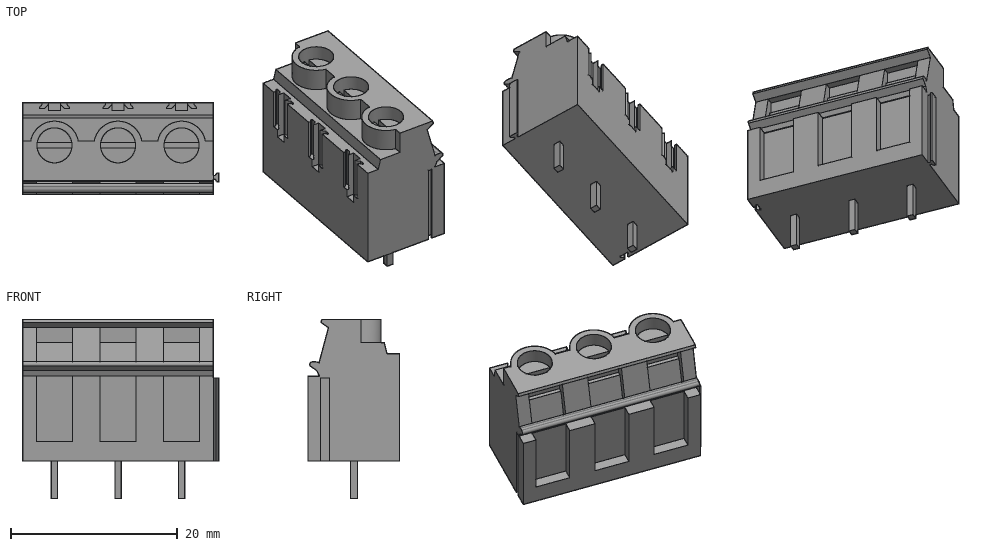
import cadquery as cq


POLES = 3
PITCH = 7.62
HOUSING_LENGTH = POLES * PITCH
HOUSING_DEPTH = 11.0
HOUSING_HEIGHT = 17.0
POLE_CENTRES = [(i + 0.5) * PITCH for i in range(POLES)]

REAR_LEDGE_Z = 12.9
REAR_SHOULDER_Z = 14.2
REAR_SLOPE_FOOT_Y = 9.5
REAR_SLOPE_TOP_Y = 9.17

FRONT_LEDGE_Z = 10.2
FRONT_WALL_Y = 1.37
LIP_UNDERSIDE = (1.06, 10.85)
LIP_NOSE_LOWER = (0.24, 11.43)
LIP_NOSE_TIP = (0.27, 11.77)
LIP_TOP_Z = 11.92
LIP_FLAT_FRONT_Y = 0.54
LIP_FLAT_REAR_Y = 0.94
LIP_CREST = (1.15, 11.89)
SLOPE_FOOT = (1.33, 11.8)
SLOPE_TOP = (2.45, 16.0)
BROW_TIP = (1.55, 16.64)
BROW_TOP_Y = 1.68

SCREW_Y = 5.88
SCREW_DIAMETER = 4.2
SCREW_TOP_Z = 15.2
SCREW_LENGTH = 3.0
SLOT_WIDTH = 0.63
SLOT_DEPTH = 0.8
TOWER_RADIUS = 2.9
TOP_REAR_Y = SCREW_Y + 0.5

RECESS_WIDTH = 4.35
LOWER_RECESS_DEPTH = 1.25
LOWER_RECESS_FLOOR_Z = 2.35
SLOPE_RECESS_DEPTH_Y = 0.9
SLOPE_RECESS_FLOOR_DROP = 0.9
UPPER_RECESS_FLOOR_Z = 14.2
UPPER_RECESS_REAR_Y = 3.35

RAIL_Y = 2.04
RAIL_HEIGHT = 10.0
RAIL_DEPTH = 0.65
RAIL_NECK_WIDTH = 0.47
RAIL_HEAD_WIDTH = 1.1
RAIL_NECK_DEPTH = 0.2
RAIL_FLARE_END = 0.45

HOOK_MOUTH_HALF_WIDTH = 1.49
HOOK_HALF_WIDTH = 1.8
HOOK_INNER_HALF_WIDTH = 1.2
HOOK_MOUTH_DEPTH = 0.25
HOOK_FLARE_DEPTH = 0.55
HOOK_DEPTH = 0.7
HOOK_HEIGHT = 5.0
NOTCH_WIDTH = 1.42
NOTCH_DEPTH = 0.94
NOTCH_HEIGHT = 6.0

PIN_WIDTH = 0.78
PIN_THICKNESS = 0.86
PIN_LENGTH = 4.5
PIN_Y = 5.53


def box(x_range, y_range, z_range):
    """Axis-aligned box between the given limits."""
    (x0, x1), (y0, y1), (z0, z1) = x_range, y_range, z_range
    return cq.Workplane("XY").box(x1 - x0, y1 - y0, z1 - z0, centered=False).translate((x0, y0, z0))


def span(centre, width):
    """Limits of a width centred on a place."""
    return (centre - width / 2, centre + width / 2)


def housing_body():
    """Housing cross-section in the YZ plane, extruded along the row of poles."""
    return (
        cq.Workplane("YZ")
        .moveTo(0, 0)
        .lineTo(HOUSING_DEPTH, 0)
        .lineTo(HOUSING_DEPTH, REAR_LEDGE_Z)
        .lineTo(REAR_SLOPE_FOOT_Y, REAR_LEDGE_Z)
        .lineTo(REAR_SLOPE_TOP_Y, REAR_SHOULDER_Z)
        .lineTo(TOP_REAR_Y, REAR_SHOULDER_Z)
        .lineTo(TOP_REAR_Y, HOUSING_HEIGHT)
        .lineTo(BROW_TOP_Y, HOUSING_HEIGHT)
        .lineTo(*BROW_TIP)
        .lineTo(*SLOPE_TOP)
        .lineTo(*SLOPE_FOOT)
        .threePointArc(LIP_CREST, (LIP_FLAT_REAR_Y, LIP_TOP_Z))
        .lineTo(LIP_FLAT_FRONT_Y, LIP_TOP_Z)
        .threePointArc(LIP_NOSE_TIP, LIP_NOSE_LOWER)
        .lineTo(*LIP_UNDERSIDE)
        .lineTo(FRONT_WALL_Y, FRONT_LEDGE_Z)
        .lineTo(0, FRONT_LEDGE_Z)
        .close()
        .extrude(HOUSING_LENGTH)
    )


def tower(x):
    """Round tower standing on the rear shoulder."""
    height = HOUSING_HEIGHT - REAR_SHOULDER_Z
    return cq.Workplane("XY", origin=(x, SCREW_Y, REAR_SHOULDER_Z)).circle(TOWER_RADIUS).extrude(height)


def screw_hole(x):
    """Blind hole that holds the screw at its bottom."""
    floor_z = SCREW_TOP_Z - SCREW_LENGTH
    hole = cq.Workplane("XY", origin=(x, SCREW_Y, floor_z)).circle(SCREW_DIAMETER / 2)
    return hole.extrude(HOUSING_HEIGHT - floor_z)


def lower_recess(x):
    """Tall recess in the front wall, open at the front ledge."""
    return box(span(x, RECESS_WIDTH), (0, LOWER_RECESS_DEPTH), (LOWER_RECESS_FLOOR_Z, FRONT_LEDGE_Z))


def slope_recess(x):
    """Recess in the sloping face: its rear wall follows the slope, then steps back to an upright wall."""
    foot_y, foot_z = SLOPE_FOOT
    top_y, top_z = SLOPE_TOP
    lean = (top_y - foot_y) / (top_z - foot_z)
    bottom_y = foot_y + SLOPE_RECESS_DEPTH_Y
    floor_rear_z = foot_z - SLOPE_RECESS_FLOOR_DROP
    floor_rear_y = bottom_y + (floor_rear_z - foot_z) * lean
    step_y = bottom_y + (UPPER_RECESS_FLOOR_Z - foot_z) * lean
    return (
        cq.Workplane("YZ", origin=(x - RECESS_WIDTH / 2, 0, 0))
        .moveTo(foot_y, foot_z)
        .lineTo(floor_rear_y, floor_rear_z)
        .lineTo(step_y, UPPER_RECESS_FLOOR_Z)
        .lineTo(UPPER_RECESS_REAR_Y, UPPER_RECESS_FLOOR_Z)
        .lineTo(UPPER_RECESS_REAR_Y, top_z)
        .lineTo(top_y, top_z)
        .close()
        .extrude(RECESS_WIDTH)
    )


def marker_slot(x):
    """Hooked slot cut down from the rear ledge, with a deeper notch in its middle."""
    notch_half = NOTCH_WIDTH / 2
    neck_depth = HOOK_DEPTH - (HOOK_INNER_HALF_WIDTH - notch_half)
    half_outline = [
        (HOOK_MOUTH_HALF_WIDTH, 0),
        (HOOK_MOUTH_HALF_WIDTH, -HOOK_MOUTH_DEPTH),
        (HOOK_HALF_WIDTH, -HOOK_FLARE_DEPTH),
        (HOOK_HALF_WIDTH, -HOOK_DEPTH),
        (HOOK_INNER_HALF_WIDTH, -HOOK_DEPTH),
        (notch_half, -neck_depth),
    ]
    mirrored = [(-px, py) for px, py in reversed(half_outline)]
    hooks = (
        cq.Workplane("XY", origin=(x, HOUSING_DEPTH, REAR_LEDGE_Z - HOOK_HEIGHT))
        .polyline(half_outline + mirrored)
        .close()
        .extrude(HOOK_HEIGHT)
    )
    notch = box(
        span(x, NOTCH_WIDTH),
        (HOUSING_DEPTH - NOTCH_DEPTH, HOUSING_DEPTH),
        (REAR_LEDGE_Z - NOTCH_HEIGHT, REAR_LEDGE_Z),
    )
    return hooks.union(notch)


def dovetail(x):
    """Upright dovetail bar that starts at x and widens towards +X."""
    neck = RAIL_NECK_WIDTH / 2
    head = RAIL_HEAD_WIDTH / 2
    return (
        cq.Workplane("XY", origin=(x, RAIL_Y, 0))
        .polyline([
            (0, -neck),
            (RAIL_NECK_DEPTH, -neck),
            (RAIL_FLARE_END, -head),
            (RAIL_DEPTH, -head),
            (RAIL_DEPTH, head),
            (RAIL_FLARE_END, head),
            (RAIL_NECK_DEPTH, neck),
            (0, neck),
        ])
        .close()
        .extrude(RAIL_HEIGHT)
    )


def make_housing():
    """Housing with towers, holes, recesses, marker slots and the end rail and groove."""
    body = housing_body().union(dovetail(HOUSING_LENGTH)).cut(dovetail(0))
    for x in POLE_CENTRES:
        body = body.union(tower(x))
        body = body.cut(screw_hole(x))
        body = body.cut(lower_recess(x))
        body = body.cut(slope_recess(x))
        body = body.cut(marker_slot(x))
    return body


def make_screw(x):
    """Slotted screw filling the bottom of its hole."""
    outline = cq.Workplane("XY", origin=(x, SCREW_Y, SCREW_TOP_Z)).circle(SCREW_DIAMETER / 2)
    screw = outline.extrude(-SCREW_LENGTH)
    slot = box(
        span(x, SCREW_DIAMETER),
        span(SCREW_Y, SLOT_WIDTH),
        (SCREW_TOP_Z - SLOT_DEPTH, SCREW_TOP_Z),
    )
    return screw.cut(slot)


def make_pin(x):
    """Rectangular solder pin hanging from the underside of the housing."""
    return box(span(x, PIN_WIDTH), span(PIN_Y, PIN_THICKNESS), (-PIN_LENGTH, 0))


housing = make_housing()
screws = [make_screw(x) for x in POLE_CENTRES]
pins = [make_pin(x) for x in POLE_CENTRES]

result = cq.Compound.makeCompound([
    housing.val(),
    *[screw.val() for screw in screws],
    *[pin.val() for pin in pins],
])